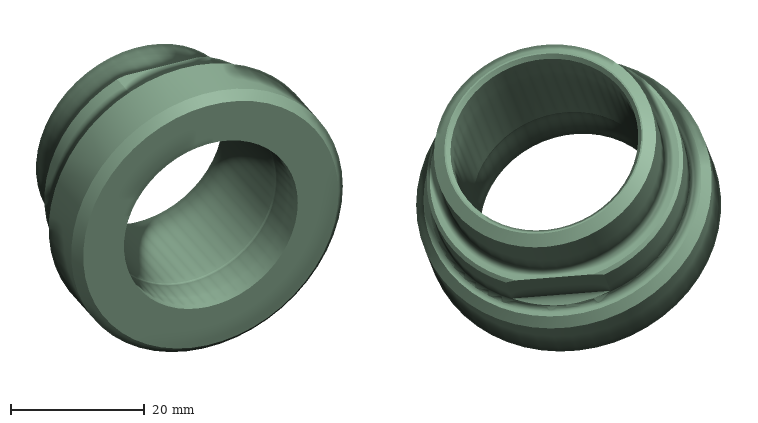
import cadquery as cq
import math

total_length = 26.5
collar_start = 9.05
flange_start = 15.9

nose_radius = 33.7 / 2
collar_radius = 19.45
flange_radius = 44.85 / 2
bore_radius = 28.5 / 2
recess_radius = 28.7 / 2

nose_edge_radius = 15.05
nose_bevel_angle = 30
nose_fillet = 0.8
collar_bevel_length = 0.45
collar_bevel_depth = 0.55
collar_fillet = 0.67
flange_chamfer = 1.35
bore_chamfer = 0.6
recess_depth = 7.35
recess_taper = 0.35

flat_distance = 35.95
flat_end = 15.0
flat_wall_lean = 17

nose_bevel_length = (nose_radius - nose_edge_radius) * math.tan(math.radians(nose_bevel_angle))


def concave_corner(profile, shoulder_x, cylinder_radius, fillet):
    """Draw a cylinder's outline up to a shoulder, ending in a concave quarter round."""
    mid_offset = fillet * math.sqrt(0.5)
    return (
        profile.lineTo(shoulder_x - fillet, cylinder_radius)
        .threePointArc(
            (shoulder_x - fillet + mid_offset, cylinder_radius + fillet - mid_offset),
            (shoulder_x, cylinder_radius + fillet),
        )
    )


def turned_body():
    """Revolve the stepped sleeve, including its bore, about the X axis."""
    recess_start = total_length - recess_depth
    profile = (
        cq.Workplane("XY")
        .moveTo(0, bore_radius + bore_chamfer)
        .lineTo(0, nose_edge_radius)
        .lineTo(nose_bevel_length, nose_radius)
    )
    profile = concave_corner(profile, collar_start, nose_radius, nose_fillet)
    profile = (
        profile.lineTo(collar_start, collar_radius - collar_bevel_depth)
        .lineTo(collar_start + collar_bevel_length, collar_radius)
    )
    profile = concave_corner(profile, flange_start, collar_radius, collar_fillet)
    profile = (
        profile.lineTo(flange_start, flange_radius - flange_chamfer)
        .lineTo(flange_start + flange_chamfer, flange_radius)
        .lineTo(total_length - flange_chamfer, flange_radius)
        .lineTo(total_length, flange_radius - flange_chamfer)
        .lineTo(total_length, recess_radius)
        .lineTo(recess_start, recess_radius)
        .lineTo(recess_start - recess_taper, bore_radius)
        .lineTo(bore_chamfer, bore_radius)
        .close()
    )
    return profile.revolve(360, (0, 0, 0), (1, 0, 0))


def flat_cutter():
    """Bar that cuts one flat across the top of the collar, with a leaning end wall."""
    flat_height = flat_distance / 2
    cutter_top = collar_radius + collar_fillet
    wall_run = (cutter_top - flat_height) * math.tan(math.radians(flat_wall_lean))
    return (
        cq.Workplane("XZ")
        .moveTo(collar_start, flat_height)
        .lineTo(flat_end, flat_height)
        .lineTo(flat_end + wall_run, cutter_top)
        .lineTo(collar_start, cutter_top)
        .close()
        .extrude(collar_radius, both=True)
    )


top_cutter = flat_cutter()
bottom_cutter = top_cutter.mirror("XY")
result = turned_body().cut(top_cutter).cut(bottom_cutter)